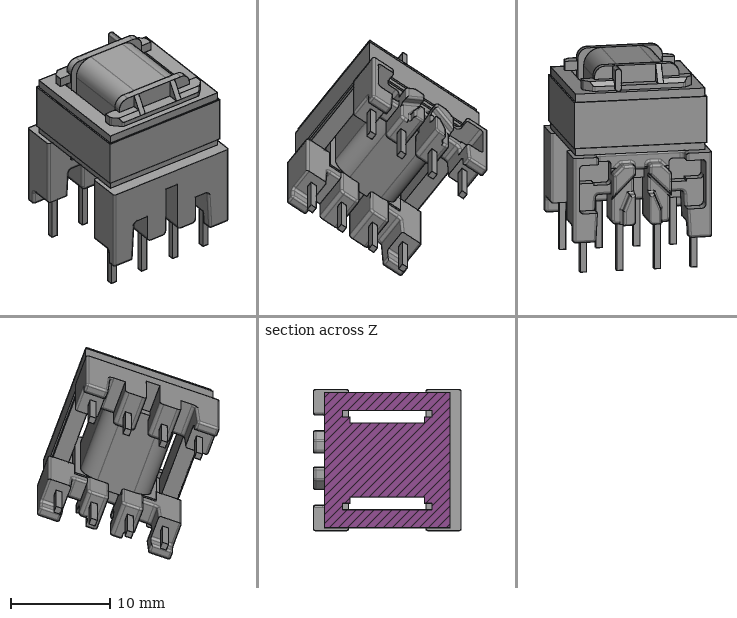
import cadquery as cq


LENGTH = 14.92
WIDTH = 14.25
HEIGHT = 21.0
HALF_LENGTH = LENGTH / 2
HALF_WIDTH = WIDTH / 2

CORE_HALF_LENGTH = 6.18
CORE_HALF_WIDTH = 6.65
CORE_BOTTOM = 12.3
CORE_TOP = 18.65
WINDOW_HALF_WIDTH = 4.98
TAPE_THICKNESS = 0.17
TAPE_BOTTOM = 13.05
TAPE_TOP = 17.82

FLANGE_INNER = 3.75
FLANGE_OUTER = 4.5
FLANGE_HALF_WIDTH = 4.35
FLANGE_RADIUS = 1.05
COIL_HALF_WIDTH = 3.76
COIL_BOTTOM = 9.33
COIL_TOP = 20.99
COIL_RADIUS = 1.8

WING_INNER = 3.89
WING_OUTER = 5.63
WING_HALF_WIDTH = 5.63
WING_BOTTOM = 18.72
WING_TOP = 19.69
WING_CHAMFER = 0.95
WING_CORNER_RADIUS = 0.32
BEVEL_BOTTOM = 19.2
BEVEL_TOP_X = 5.3
GUSSET_INNER_Y = 1.93
GUSSET_OUTER_Y = 2.52
FIN_TIP = 6.1
FIN_RADIUS = 0.23

RAIL_INNER = 3.89
RAIL_BOTTOM = 8.09
BRIDGE_BOTTOM = 10.53
LEG_BOTTOM = 5.08
TOE_BOTTOM = 3.5
TOE_INNER = 6.45
LEG_ROOT_Y = 4.54
LEG_TIP_Y = 4.8
LEG_ROOT_RADIUS = 0.38
TOE_ROOT_RADIUS = 0.27
EDGE_RADIUS = 0.25
LEG_EDGE_RADIUS = 0.23

PLATE_FACE = 6.1
PLATE_CORNER_RADIUS = 0.42
PLATE_TOP_RADIUS = 0.23

POCKET_OUTER_Y = 6.51
POCKET_INNER_Y = 2.98
POCKET_FLOOR = 6.51
POCKET_TOP = 11.53
POCKET_RADIUS = 0.38
POCKET_FLOOR_RADIUS = 0.48
POCKET_BACK = 4.87
LEDGE = 9.33
LEDGE_STEP = 9.1
LEDGE_STEP_Y = 4.77

LUG_INNER_Y = 0.71
LUG_OUTER_Y = 2.98
LUG_BOTTOM = 5.06
LUG_RADIUS = 0.42
CHANNEL_FLOOR = 6.6
CHANNEL_RADIUS = 0.23
CHANNEL_OVERHANG = 0.63
LUG_RIM_RADIUS = 0.25
GUIDE_RIM_RADIUS = 0.15
HOOK_TOP = 11.28
HOOK_CORNER_RADIUS = 0.3
HOOK_CHAMFER_Y = 2.0
HOOK_SHOULDER = 10.34
HOOK_INNER_BOTTOM = 10.27
HOOK_OUTER_BOTTOM = 8.0
GUIDE_TOP = 8.2
GUIDE_TOP_Y = 1.26
GUIDE_SIDE_Y = 1.93
GUIDE_SHOULDER = 6.55

PIN_SIZE = 0.65
PIN_X = 5.1
PIN_YS = (1.93, 5.7)
PIN_TOP = 8.4

TOLERANCE = 0.02


def block(x0, x1, y0, y1, z0, z1):
    """Box between two opposite corners."""
    return cq.Workplane("XY").box(x1 - x0, y1 - y0, z1 - z0, centered=False).translate((x0, y0, z0))


def slab_yz(points, x0, x1):
    """Outline of (y, z) points extruded from x0 to x1."""
    return cq.Workplane("YZ", origin=(x0, 0, 0)).polyline(points).close().extrude(x1 - x0)


def slab_xz(points, y0, y1):
    """Outline of (x, z) points extruded from y0 to y1."""
    return cq.Workplane("XZ", origin=(0, y1, 0)).polyline(points).close().extrude(y1 - y0)


def edges_within(x_span, y_span, z_span):
    """Selector for the edges whose middle lies within the three spans, give or take the tolerance."""
    low, high = zip(x_span, y_span, z_span)
    return cq.selectors.BoxSelector(
        tuple(value - TOLERANCE for value in low),
        tuple(value + TOLERANCE for value in high),
    )


def with_y_mirror(body):
    """Body together with its mirror image across Y = 0."""
    return body.union(body.mirror("XZ"))


def make_core():
    """Rectangular frame with a band of tape around it."""
    core_x = CORE_HALF_LENGTH
    core_y = CORE_HALF_WIDTH
    core = block(-core_x, core_x, -core_y, core_y, CORE_BOTTOM, CORE_TOP)
    tape_x = core_x + TAPE_THICKNESS
    tape_y = core_y + TAPE_THICKNESS
    tape = block(-tape_x, tape_x, -tape_y, tape_y, TAPE_BOTTOM, TAPE_TOP)
    window = block(-FLANGE_OUTER, FLANGE_OUTER, -WINDOW_HALF_WIDTH, WINDOW_HALF_WIDTH, CORE_BOTTOM, CORE_TOP)
    return core.union(tape).cut(window)


def make_winding():
    coil = block(-FLANGE_INNER, FLANGE_INNER, -COIL_HALF_WIDTH, COIL_HALF_WIDTH, COIL_BOTTOM, COIL_TOP)
    return coil.edges("|X").fillet(COIL_RADIUS)


def make_flange():
    """Flange with its wings at the +X end of the winding."""
    flange = block(FLANGE_INNER, FLANGE_OUTER, -FLANGE_HALF_WIDTH, FLANGE_HALF_WIDTH, COIL_BOTTOM, HEIGHT)
    flange = flange.edges("|X and >Z").fillet(FLANGE_RADIUS)

    wing_profile = [
        (WING_INNER, WING_BOTTOM),
        (WING_OUTER, WING_BOTTOM),
        (WING_OUTER, BEVEL_BOTTOM),
        (BEVEL_TOP_X, WING_TOP),
        (WING_INNER, WING_TOP),
    ]
    wing = slab_xz(wing_profile, -WING_HALF_WIDTH, WING_HALF_WIDTH)
    corners = (
        block(WING_INNER, WING_OUTER, -WING_HALF_WIDTH, WING_HALF_WIDTH, WING_BOTTOM, WING_TOP)
        .edges("|Z and >X")
        .chamfer(WING_CHAMFER)
        .edges("|Z and (not <X)")
        .fillet(WING_CORNER_RADIUS)
    )
    recess = block(FLANGE_OUTER, WING_OUTER, -GUSSET_INNER_Y, GUSSET_INNER_Y, BEVEL_BOTTOM, WING_TOP)
    return flange.union(wing.intersect(corners).cut(recess))


def make_gusset():
    """Sloped rib between flange and wing at +X, +Y."""
    gusset_profile = [
        (FLANGE_OUTER, BEVEL_BOTTOM),
        (WING_OUTER, BEVEL_BOTTOM),
        (FLANGE_OUTER, HEIGHT),
    ]
    return slab_xz(gusset_profile, GUSSET_INNER_Y, GUSSET_OUTER_Y)


def make_fin():
    """Upright fin in place of a gusset on the -X flange."""
    fin = block(-FIN_TIP, -FLANGE_OUTER, GUSSET_INNER_Y, GUSSET_OUTER_Y, WING_BOTTOM, HEIGHT)
    return fin.edges("|X").fillet(FIN_RADIUS)


def make_bobbin_ends():
    """Both flanges: gussets at every corner but -X, +Y, where the fin stands."""
    plus_x = make_flange().union(with_y_mirror(make_gusset()))
    minus_x = make_flange().union(make_gusset().mirror("XZ")).mirror("YZ")
    return plus_x.union(minus_x).union(make_fin())


def make_leg():
    """Corner leg at +X, +Y, with a toe along its outer side."""
    outline = (
        cq.Workplane("XZ", origin=(0, HALF_WIDTH, 0))
        .moveTo(RAIL_INNER, CORE_BOTTOM)
        .lineTo(RAIL_INNER, LEG_BOTTOM)
        .lineTo(TOE_INNER, LEG_BOTTOM)
        .lineTo(TOE_INNER, TOE_BOTTOM)
        .lineTo(HALF_LENGTH, TOE_BOTTOM)
        .lineTo(HALF_LENGTH, CORE_BOTTOM)
        .close()
        .extrude(HALF_WIDTH - LEG_ROOT_Y)
    )
    side_profile = [
        (LEG_ROOT_Y, CORE_BOTTOM),
        (LEG_ROOT_Y, RAIL_BOTTOM),
        (LEG_TIP_Y, TOE_BOTTOM),
        (HALF_WIDTH, TOE_BOTTOM),
        (HALF_WIDTH, CORE_BOTTOM),
    ]
    leg = outline.intersect(slab_yz(side_profile, RAIL_INNER, HALF_LENGTH))
    toe_root = cq.selectors.NearestToPointSelector((TOE_INNER, (LEG_TIP_Y + HALF_WIDTH) / 2, LEG_BOTTOM))
    leg = leg.edges(toe_root).fillet(TOE_ROOT_RADIUS)
    return leg.faces("<Z or >X or >Y").edges("not >Z").fillet(LEG_EDGE_RADIUS)


def make_lug():
    """Plain lug at +X, +Y that carries one inner pin."""
    lug = block(FLANGE_INNER, HALF_LENGTH, LUG_INNER_Y, LUG_OUTER_Y, LUG_BOTTOM, BRIDGE_BOTTOM)
    lug = lug.edges("|X and <Z").fillet(LUG_RADIUS)
    return lug.faces("<X").edges("not >Z").fillet(LEG_EDGE_RADIUS)


def make_half_bridge(face_x):
    """+Y half of the wall at +X joining the legs and lugs, up to its outer face at face_x."""
    profile = [
        (LUG_INNER_Y, BRIDGE_BOTTOM),
        (LUG_INNER_Y, RAIL_BOTTOM),
        (HALF_WIDTH - EDGE_RADIUS, RAIL_BOTTOM),
        (HALF_WIDTH - EDGE_RADIUS, CORE_BOTTOM),
        (0, CORE_BOTTOM),
        (0, BRIDGE_BOTTOM),
    ]
    return slab_yz(profile, RAIL_INNER, face_x)


def make_half_rail(face_x):
    """+Y leg at +X with its share of the wall, rounded where they meet and along their inner rim."""
    half = make_leg().union(make_half_bridge(face_x))
    leg_root = edges_within((RAIL_INNER, face_x), (LEG_ROOT_Y, LEG_ROOT_Y), (RAIL_BOTTOM, RAIL_BOTTOM))
    half = half.edges(leg_root).fillet(LEG_ROOT_RADIUS)
    inner_rim = edges_within((RAIL_INNER, RAIL_INNER), (LUG_INNER_Y, LEG_TIP_Y), (LEG_BOTTOM, RAIL_BOTTOM))
    return half.edges(inner_rim).fillet(LEG_EDGE_RADIUS)


def make_plain_half_rail():
    """+Y half of the pin rail on the +X side."""
    return make_half_rail(HALF_LENGTH).union(make_lug())


def make_pocket():
    """Stepped pocket of the +Y leg on the -X side, open toward the lugs."""
    lower = block(-HALF_LENGTH, -PLATE_FACE, POCKET_INNER_Y, POCKET_OUTER_Y, POCKET_FLOOR, POCKET_TOP)
    lower = lower.edges("|X and >Y and >Z").fillet(POCKET_RADIUS)
    lower = lower.edges("|X and >Y and <Z").fillet(POCKET_FLOOR_RADIUS)
    upper = block(-HALF_LENGTH, -POCKET_BACK, POCKET_INNER_Y, POCKET_OUTER_Y, LEDGE, POCKET_TOP)
    step = block(-HALF_LENGTH, -POCKET_BACK, POCKET_INNER_Y, LEDGE_STEP_Y, LEDGE_STEP, POCKET_TOP)
    upper = upper.union(step).edges("|X and (>Y or <Y)").fillet(POCKET_RADIUS)
    return lower.union(upper)


def make_channel_wall(profile, growth):
    """Outline of (y, z) points, grown by growth, extruded from the rail's outer face to its wall."""
    outline = cq.Workplane("YZ", origin=(-HALF_LENGTH, 0, 0)).polyline(profile).close()
    if growth > 0:
        outline = outline.offset2D(growth)
    return outline.extrude(HALF_LENGTH - PLATE_FACE)


def make_hook(overhang, growth):
    """Wall above the wire channel: reaches past the lug's sides by overhang, outline grown by growth."""
    slope = (HOOK_INNER_BOTTOM - HOOK_OUTER_BOTTOM) / (LUG_OUTER_Y - LUG_INNER_Y)
    profile = [
        (LUG_INNER_Y - overhang, HOOK_INNER_BOTTOM + slope * overhang),
        (LUG_INNER_Y - overhang, CORE_BOTTOM),
        (LUG_OUTER_Y + overhang, CORE_BOTTOM),
        (LUG_OUTER_Y + overhang, HOOK_OUTER_BOTTOM - slope * overhang),
    ]
    return make_channel_wall(profile, growth)


def make_guide(overhang, growth):
    """Rib below the wire channel, with the same overhang and growth as the hook."""
    profile = [
        (LUG_INNER_Y - overhang, LUG_BOTTOM - overhang),
        (LUG_INNER_Y - overhang, GUIDE_TOP),
        (GUIDE_TOP_Y, GUIDE_TOP),
        (GUIDE_SIDE_Y, GUIDE_SHOULDER),
        (GUIDE_SIDE_Y, LUG_BOTTOM - overhang),
    ]
    return make_channel_wall(profile, growth)


def make_lug_outline(front_x, rim_radius):
    """Prism with the lug's outline and a rounded rim around both its faces, the outer one at front_x."""
    profile = [
        (LUG_INNER_Y, LUG_BOTTOM),
        (LUG_INNER_Y, HOOK_TOP),
        (HOOK_CHAMFER_Y, HOOK_TOP),
        (LUG_OUTER_Y, HOOK_SHOULDER),
        (LUG_OUTER_Y, LUG_BOTTOM),
    ]
    outline = slab_yz(profile, front_x, -FLANGE_INNER).edges("|X and <Z").fillet(LUG_RADIUS)
    hook_corners = edges_within((front_x, 0), (0, LUG_OUTER_Y), (HOOK_SHOULDER, HOOK_TOP))
    outline = outline.edges("|X").edges(hook_corners).fillet(HOOK_CORNER_RADIUS)
    outline = outline.faces(">X").edges().fillet(LEG_EDGE_RADIUS)
    return outline.faces("<X").edges().fillet(rim_radius)


def make_channel_lug():
    """Lug at -X, +Y with a hook above and a guide rib below its wire channel."""
    sides = (LUG_INNER_Y - CHANNEL_OVERHANG, LUG_OUTER_Y + CHANNEL_OVERHANG)
    bottom = LUG_BOTTOM - CHANNEL_OVERHANG
    blank = block(-CHANNEL_FLOOR, -FLANGE_INNER, *sides, bottom, CORE_BOTTOM)
    blank = blank.union(make_hook(CHANNEL_OVERHANG, 0)).union(make_guide(CHANNEL_OVERHANG, 0))
    for x in (-CHANNEL_FLOOR, -HALF_LENGTH):
        wall_edges = edges_within(
            (x, x),
            (sides[0] + CHANNEL_RADIUS, sides[1] - CHANNEL_RADIUS),
            (bottom + CHANNEL_RADIUS, HOOK_TOP),
        )
        blank = blank.edges(wall_edges).fillet(CHANNEL_RADIUS)

    hook_outline = make_lug_outline(-HALF_LENGTH, LUG_RIM_RADIUS)
    guide_outline = make_lug_outline(-HALF_LENGTH, GUIDE_RIM_RADIUS)
    floor_outline = make_lug_outline(-CHANNEL_FLOOR, LUG_RIM_RADIUS)
    outline = floor_outline.union(hook_outline.intersect(make_hook(CHANNEL_OVERHANG, CHANNEL_RADIUS)))
    outline = outline.union(guide_outline.intersect(make_guide(CHANNEL_OVERHANG, CHANNEL_RADIUS)))
    return blank.intersect(outline)


def make_hook_flare():
    """Hollow rounding where the hook meets the wall behind it."""
    wall = block(-PLATE_FACE, -POCKET_BACK, -LUG_OUTER_Y, HALF_WIDTH, LEG_BOTTOM, HEIGHT)
    hook_root = edges_within((-PLATE_FACE, -PLATE_FACE), (0, LUG_OUTER_Y), (BRIDGE_BOTTOM, HOOK_TOP))
    hook = make_lug_outline(-HALF_LENGTH, LUG_RIM_RADIUS)
    flare = wall.union(hook).edges(hook_root).fillet(EDGE_RADIUS)
    return flare.intersect(
        block(-HALF_LENGTH, -POCKET_BACK, 0, LUG_OUTER_Y, BRIDGE_BOTTOM + EDGE_RADIUS, POCKET_TOP)
    )


def make_rail_cap():
    """Top band of the -X rail above the pocket: leg end and set-back wall, rounded along their top edge."""
    cap = block(-LENGTH, -RAIL_INNER, 0, HALF_WIDTH, POCKET_TOP, CORE_BOTTOM)
    cap = cap.cut(block(-LENGTH, -PLATE_FACE, 0, LEG_ROOT_Y, POCKET_TOP, CORE_BOTTOM))
    front = (-PLATE_FACE, -PLATE_FACE)
    corner = edges_within(front, (LEG_ROOT_Y, LEG_ROOT_Y), (POCKET_TOP, CORE_BOTTOM))
    cap = cap.edges(corner).fillet(PLATE_CORNER_RADIUS)
    top_edges = edges_within((-LENGTH, -PLATE_FACE), (0, LEG_ROOT_Y), (CORE_BOTTOM, CORE_BOTTOM))
    cap = cap.edges(top_edges).fillet(PLATE_TOP_RADIUS)
    corner_x = -PLATE_FACE - PLATE_CORNER_RADIUS
    outline = make_leg().mirror("YZ").union(
        block(corner_x, -RAIL_INNER, 0, HALF_WIDTH - EDGE_RADIUS, POCKET_TOP, CORE_BOTTOM)
    )
    return cap.intersect(outline)


def make_channel_half_rail():
    """+Y half of the pin rail on the -X side."""
    half = make_half_rail(PLATE_FACE).mirror("YZ").cut(make_pocket())
    half = half.cut(block(-HALF_LENGTH, -RAIL_INNER, 0, HALF_WIDTH, POCKET_TOP, CORE_BOTTOM))
    half = half.union(make_rail_cap())
    front = (-PLATE_FACE, -PLATE_FACE)
    rims = (
        edges_within(front, (0, LUG_INNER_Y), (BRIDGE_BOTTOM, BRIDGE_BOTTOM)),
        edges_within(front, (LUG_INNER_Y, LEG_TIP_Y), (POCKET_FLOOR, RAIL_BOTTOM)),
    )
    for rim in rims:
        half = half.edges(rim).fillet(EDGE_RADIUS)
    return half.union(make_channel_lug()).union(make_hook_flare())


def make_pins():
    centres = [(x, y) for x in (-PIN_X, PIN_X) for pin_y in PIN_YS for y in (-pin_y, pin_y)]
    return cq.Workplane("XY").pushPoints(centres).rect(PIN_SIZE, PIN_SIZE).extrude(PIN_TOP)


rails = with_y_mirror(make_plain_half_rail().union(make_channel_half_rail()))
result = make_core().union(make_winding()).union(make_bobbin_ends()).union(rails).union(make_pins())